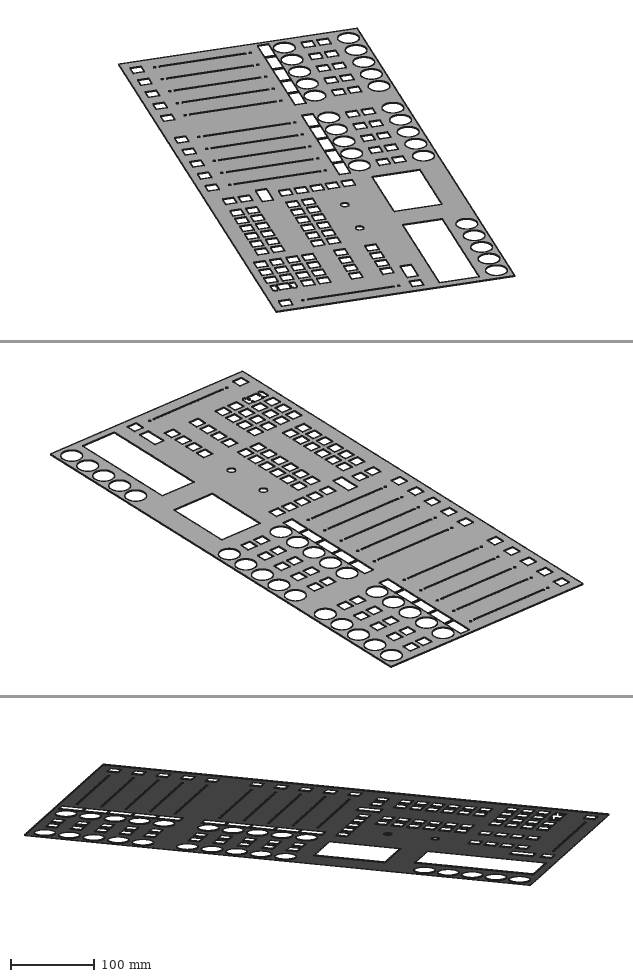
import cadquery as cq

PANEL_WIDTH = 640.0
PANEL_DEPTH = 300.0
PANEL_THICKNESS = 1.5

KEY_SIZE = 14.0
KNOB_DIAMETER = 26.0
LABEL_WIDTH = 29.5
LABEL_DEPTH = 14.0
JACK_DIAMETER = 10.0
SCREEN_WIDTH = 90.0
SCREEN_DEPTH = 60.0
DISPLAY_WIDTH = 150.5
DISPLAY_DEPTH = 50.0

FADER_SLOT_WIDTH = 2.0
FADER_SLOT_LENGTH = 109.0
FADER_SCREW_SPACING = 120.0
FADER_SCREW_DIAMETER = 3.0
FADER_Y = 99.0

STABILIZER_WIDTH = 12.0
STABILIZER_DEPTH = 6.5
STABILIZER_OFFSET = 12.0
NOTCH_LENGTH = 2.0
NOTCH_DEPTH = 3.0
CHANNEL_WIDTH = 4.0
CHANNEL_SHIFT = 1.0

STRIPS_PER_BANK = 5
BANK_SPAN = 124.0
BANK_STARTS = [20.0, 200.0]
STRIP_PITCH = BANK_SPAN / (STRIPS_PER_BANK - 1)
STRIP_KEY_ROWS = [17.0, 232.0, 252.0]
LABEL_Y = 180.0
LOWER_KNOB_Y = 202.0
UPPER_KNOB_Y = 283.0

SCREEN_CENTER = (400.5, 239.0)
DISPLAY_CENTER = (555.0, 233.5)
SMALL_DISPLAYS = [(361.0, 72.0), (591.5, 182.5)]
JACKS = [(412.0, 157.0), (472.0, 157.0)]
MASTER_KNOB_START = 500.5
MASTER_KNOB_PITCH = 30.0
MASTER_KNOB_COUNT = 5

FUNCTION_SPAN = 100.5
FUNCTION_COLUMNS = 6
KEY_PITCH = FUNCTION_SPAN / (FUNCTION_COLUMNS - 1)
FUNCTION_X = 392.0
FUNCTION_ROWS = [27.5, 47.5, 98.0, 118.0]
MODE_X = 362.0
MODE_ROWS = FUNCTION_ROWS + [137.5, 157.0, 176.5]
KEYPAD_X = 523.0
KEYPAD_COLUMNS = 4
DOUBLE_KEY_ROWS = [17.0, 37.0]
FULL_KEYPAD_ROWS = [57.5, 77.5, 118.0, 157.0]
MASTER_X = 623.0
MASTER_KEY_ROWS = [17.0, 182.0]


def columns(start, pitch, count):
    """X positions of evenly spaced columns."""
    return [start + pitch * index for index in range(count)]


def grid(xs, ys):
    """Every crossing of the given columns and rows."""
    return [(x, y) for x in xs for y in ys]


def cut_rectangles(body, centers, width, depth):
    cutter = cq.Workplane("XY").pushPoints(centers).rect(width, depth).extrude(PANEL_THICKNESS)
    return body.cut(cutter)


def cut_circles(body, centers, diameter):
    cutter = cq.Workplane("XY").pushPoints(centers).circle(diameter / 2).extrude(PANEL_THICKNESS)
    return body.cut(cutter)


def cut_faders(body, xs):
    """Fader slots, each with its two screw holes."""
    screw_rows = [FADER_Y - FADER_SCREW_SPACING / 2, FADER_Y + FADER_SCREW_SPACING / 2]
    body = cut_rectangles(body, grid(xs, [FADER_Y]), FADER_SLOT_WIDTH, FADER_SLOT_LENGTH)
    return cut_circles(body, grid(xs, screw_rows), FADER_SCREW_DIAMETER)


def cut_double_key(body, x, y):
    """Switch opening joined by a channel to a notched stabilizer opening at each end."""
    stabilizer_rows = [y - STABILIZER_OFFSET, y + STABILIZER_OFFSET]
    stabilizers = grid([x], stabilizer_rows)
    notches = grid([x + STABILIZER_WIDTH / 2], stabilizer_rows)
    channel = [(x - CHANNEL_SHIFT, y)]
    body = cut_rectangles(body, [(x, y)], KEY_SIZE, KEY_SIZE)
    body = cut_rectangles(body, stabilizers, STABILIZER_WIDTH, STABILIZER_DEPTH)
    body = cut_rectangles(body, notches, 2 * NOTCH_LENGTH, NOTCH_DEPTH)
    return cut_rectangles(body, channel, CHANNEL_WIDTH, 2 * STABILIZER_OFFSET)


strip_xs = [x for start in BANK_STARTS for x in columns(start, STRIP_PITCH, STRIPS_PER_BANK)]
master_knob_xs = columns(MASTER_KNOB_START, MASTER_KNOB_PITCH, MASTER_KNOB_COUNT)
function_xs = columns(FUNCTION_X, KEY_PITCH, FUNCTION_COLUMNS)
keypad_xs = columns(KEYPAD_X, KEY_PITCH, KEYPAD_COLUMNS)

keys = (
    grid(strip_xs, STRIP_KEY_ROWS)
    + grid([MODE_X], MODE_ROWS)
    + grid(function_xs, FUNCTION_ROWS)
    + grid(keypad_xs, FULL_KEYPAD_ROWS)
    + grid(keypad_xs[:-1], DOUBLE_KEY_ROWS)
    + grid([MASTER_X], MASTER_KEY_ROWS)
)
knobs = grid(strip_xs, [LOWER_KNOB_Y, UPPER_KNOB_Y]) + grid(master_knob_xs, [UPPER_KNOB_Y])
labels = grid(strip_xs, [LABEL_Y]) + SMALL_DISPLAYS
double_key_y = sum(DOUBLE_KEY_ROWS) / len(DOUBLE_KEY_ROWS)

panel = cq.Workplane("XY").box(PANEL_WIDTH, PANEL_DEPTH, PANEL_THICKNESS, centered=False)
panel = cut_rectangles(panel, keys, KEY_SIZE, KEY_SIZE)
panel = cut_circles(panel, knobs, KNOB_DIAMETER)
panel = cut_rectangles(panel, labels, LABEL_WIDTH, LABEL_DEPTH)
panel = cut_rectangles(panel, [SCREEN_CENTER], SCREEN_WIDTH, SCREEN_DEPTH)
panel = cut_rectangles(panel, [DISPLAY_CENTER], DISPLAY_WIDTH, DISPLAY_DEPTH)
panel = cut_circles(panel, JACKS, JACK_DIAMETER)
panel = cut_faders(panel, strip_xs + [MASTER_X])
result = cut_double_key(panel, keypad_xs[-1], double_key_y)